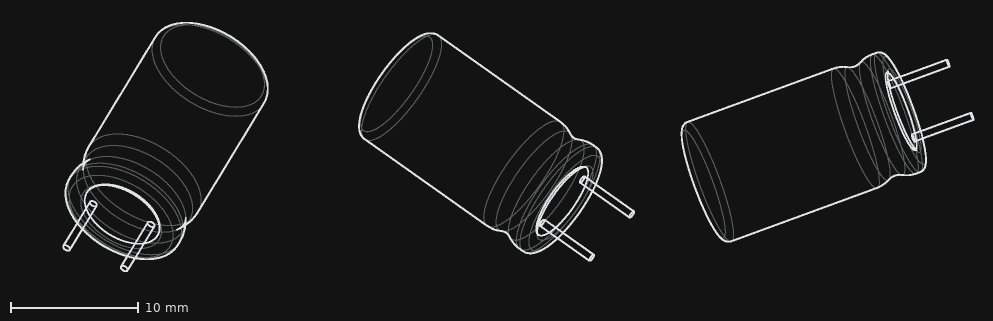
import cadquery as cq
import math

can_radius = 5.0
can_length = 17.0
end_fillet = 0.5

groove_center = 2.5
groove_half_width = 1.65
groove_depth = 0.42
groove_inflection = 0.62

recess_radius = 3.25
recess_lip_radius = 0.25

lead_radius = 0.3
lead_pitch = 5.0
lead_projection = 4.75

bend_angle = 2 * math.atan(groove_depth / groove_half_width)
shoulder_arc_radius = (groove_half_width - groove_inflection) / math.sin(bend_angle)
throat_radius = can_radius - groove_depth


def shoulder_point(side, angle):
    """Point on a convex shoulder arc, turned by angle from its tangency with the can."""
    return (
        can_radius - shoulder_arc_radius * (1 - math.cos(angle)),
        groove_center + side * (groove_half_width - shoulder_arc_radius * math.sin(angle)),
    )


def make_can():
    """Revolve the half profile, drawn as (radius, Y), about the Y axis."""
    arc_middle = 1 - math.sqrt(0.5)
    fillet_middle = end_fillet * arc_middle
    lip_middle = recess_lip_radius * arc_middle
    profile = (
        cq.Workplane("XY")
        .moveTo(0, recess_lip_radius)
        .lineTo(recess_radius, recess_lip_radius)
        .threePointArc(
            (recess_radius + lip_middle, lip_middle),
            (recess_radius + recess_lip_radius, 0),
        )
        .lineTo(can_radius - end_fillet, 0)
        .threePointArc((can_radius - fillet_middle, fillet_middle), (can_radius, end_fillet))
        .lineTo(can_radius, groove_center - groove_half_width)
        .threePointArc(shoulder_point(-1, bend_angle / 2), shoulder_point(-1, bend_angle))
        .threePointArc((throat_radius, groove_center), shoulder_point(1, bend_angle))
        .threePointArc(
            shoulder_point(1, bend_angle / 2),
            (can_radius, groove_center + groove_half_width),
        )
        .lineTo(can_radius, can_length - end_fillet)
        .threePointArc(
            (can_radius - fillet_middle, can_length - fillet_middle),
            (can_radius - end_fillet, can_length),
        )
        .lineTo(0, can_length)
        .close()
    )
    return profile.revolve(360, (0, 0, 0), (0, 1, 0))


def make_leads():
    """Two round leads from inside the seal out towards -Y."""
    embedded_length = 0.5
    return (
        cq.Workplane("XZ", origin=(0, recess_lip_radius + embedded_length, 0))
        .pushPoints([(-lead_pitch / 2, 0), (lead_pitch / 2, 0)])
        .circle(lead_radius)
        .extrude(embedded_length + recess_lip_radius + lead_projection)
    )


result = make_can().union(make_leads())